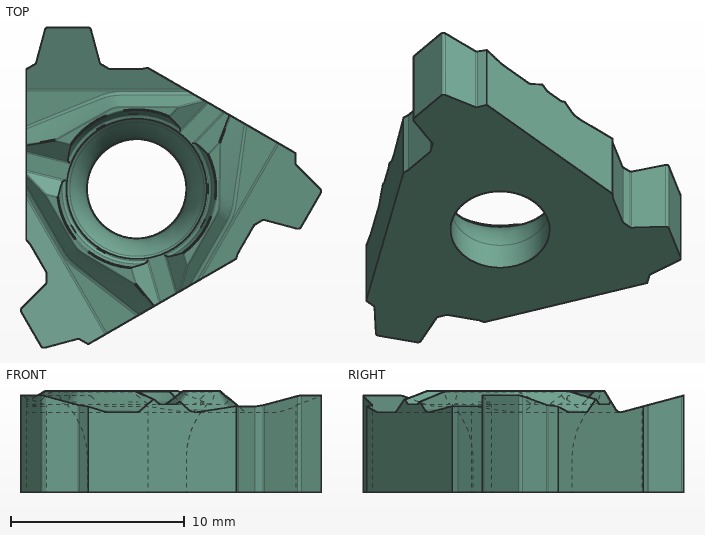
import cadquery as cq
import math

LOBES = 3
LOBE_TURN = -360.0 / LOBES
HEIGHT = 5.84
SIDE_DISTANCE = 6.35
CUT_MARGIN = 3.0
PICK_MARGIN = 0.05

TOOTH_CENTER_X = -3.95
TIP_Y = 9.29
TIP_HALF_WIDTH = 1.29
FLANK_ANGLE = 15.0
NECK_Y = 7.2
NECK_ANGLE = 30.0
SHOULDER_Y = 6.9
SHOULDER_STEP_WIDTH = 0.33
SHOULDER_END_X = 0.3
TIP_RADIUS = 0.2
NECK_RADIUS = 0.12
SHOULDER_RADIUS = 0.12

TIP_Z = 5.58
RAKE_ANGLE = 15.0
FLOOR_Z = 4.62
RAKE_BLEND_RADIUS = 0.45

FOOT_WALL_Y = 5.47
CREST_WALL_Y = 4.73
FOOT_OBLIQUE_ANGLE = 21.9
CREST_OBLIQUE_ANGLE = 29.3
FOOT_SIDE_Y = 3.54
CREST_SIDE_Y = 1.9
FOOT_BEND_RADIUS = 3.0
CREST_BEND_RADIUS = 1.5
FOOT_RADIUS = 0.25
CREST_RADIUS = 0.07

NOTCH_ANGLE = 166.0
NOTCH_FLOOR_Z = 5.07
NOTCH_FLOOR_WIDTH = 1.07
NOTCH_WALL_ANGLE = 53.0
NOTCH_RADIUS = 0.15

RECESS_Z = NOTCH_FLOOR_Z
HOLE_RADIUS = 5.7 / 2
SEAT_ARC_RADIUS = 4.48
SEAT_ARC_ANGLE = 39.3
SEAT_CONE_HEIGHT = 0.21
RECESS_TOP_RADIUS = 4.54
RECESS_WALL_ANGLE = 20.0
RECESS_CORNER_RADIUS = 0.2


def tan(degrees):
    return math.tan(math.radians(degrees))


def turned(point, lobe):
    """Point of the first lobe moved to another lobe."""
    angle = math.radians(LOBE_TURN * lobe)
    x, y = point
    return (
        x * math.cos(angle) - y * math.sin(angle),
        x * math.sin(angle) + y * math.cos(angle),
    )


NECK_HALF_WIDTH = TIP_HALF_WIDTH + (TIP_Y - NECK_Y) * tan(FLANK_ANGLE)

CORNER_RADII = [0, NECK_RADIUS, TIP_RADIUS, TIP_RADIUS, NECK_RADIUS, SHOULDER_RADIUS, SHOULDER_RADIUS, 0]


def lobe_points():
    """Outline of the first lobe, from its long side clockwise to the next side."""
    neck_left_x = TOOTH_CENTER_X - NECK_HALF_WIDTH
    neck_right_x = TOOTH_CENTER_X + NECK_HALF_WIDTH
    side_y = NECK_Y - (SIDE_DISTANCE + neck_left_x) * tan(NECK_ANGLE)
    step_x = SHOULDER_END_X + SHOULDER_STEP_WIDTH
    step_y = (SIDE_DISTANCE - step_x * math.cos(math.pi / LOBES)) / math.sin(math.pi / LOBES)
    return [
        (-SIDE_DISTANCE, side_y),
        (neck_left_x, NECK_Y),
        (TOOTH_CENTER_X - TIP_HALF_WIDTH, TIP_Y),
        (TOOTH_CENTER_X + TIP_HALF_WIDTH, TIP_Y),
        (neck_right_x, NECK_Y),
        (neck_right_x + (NECK_Y - SHOULDER_Y) / tan(NECK_ANGLE), SHOULDER_Y),
        (SHOULDER_END_X, SHOULDER_Y),
        (step_x, step_y),
    ]


def blank():
    """Full-height prism of the three-lobed outline with its rounded corners."""
    points = [turned(point, lobe) for lobe in range(LOBES) for point in lobe_points()]
    body = cq.Workplane("XY").polyline(points).close().extrude(HEIGHT)
    for lobe in range(LOBES):
        for point, radius in zip(lobe_points(), CORNER_RADII):
            if radius:
                x, y = turned(point, lobe)
                corner = cq.selectors.NearestToPointSelector((x, y, HEIGHT / 2))
                body = body.edges("|Z").edges(corner).fillet(radius)
    return body


def wall_line(plane, wall_y, side_y, angle, bend_radius):
    """Closed area outside a boss wall: an oblique line, a smooth bend, then a line along X."""
    corner_x = -SIDE_DISTANCE + (wall_y - side_y) / tan(angle)
    tangent = bend_radius * tan(angle / 2)
    cos_a = math.cos(math.radians(angle))
    sin_a = math.sin(math.radians(angle))
    bend_start = (corner_x - tangent * cos_a, wall_y - tangent * sin_a)
    bend_end = (corner_x + tangent, wall_y)
    left_x = -SIDE_DISTANCE - CUT_MARGIN
    right_x = SIDE_DISTANCE
    far_y = TIP_Y + CUT_MARGIN
    wall_start = (left_x, side_y - CUT_MARGIN * tan(angle))
    wall_end = (right_x, wall_y)
    oblique = (cos_a, sin_a)
    along_x = (1, 0)
    return (
        plane.moveTo(*wall_start)
        .spline(
            [bend_start, bend_end, wall_end],
            tangents=[oblique, oblique, along_x, along_x],
            includeCurrent=True,
        )
        .lineTo(right_x, far_y)
        .lineTo(left_x, far_y)
        .close()
    )


def boss_wall_cutter():
    """Space outside the boss wall above the chip floor, rounded along the foot of the wall."""
    foot = wall_line(
        cq.Workplane("XY").workplane(offset=FLOOR_Z),
        FOOT_WALL_Y, FOOT_SIDE_Y, FOOT_OBLIQUE_ANGLE, FOOT_BEND_RADIUS,
    )
    cutter = wall_line(
        foot.workplane(offset=HEIGHT - FLOOR_Z),
        CREST_WALL_Y, CREST_SIDE_Y, CREST_OBLIQUE_ANGLE, CREST_BEND_RADIUS,
    ).loft(ruled=True)
    near_foot = cq.selectors.BoxSelector(
        (-2 * SIDE_DISTANCE, 0, FLOOR_Z - PICK_MARGIN),
        (SIDE_DISTANCE - PICK_MARGIN, FOOT_WALL_Y + PICK_MARGIN, FLOOR_Z + PICK_MARGIN),
    )
    return cutter.edges(near_foot).fillet(FOOT_RADIUS)


def rake_wedge():
    """Material under the rising rake face, blended into the chip floor."""
    angle = math.radians(RAKE_ANGLE)
    start_y = TIP_Y - (TIP_Z - FLOOR_Z) / tan(RAKE_ANGLE)
    far_y = TIP_Y + 2 * CUT_MARGIN
    blend = RAKE_BLEND_RADIUS * tan(RAKE_ANGLE / 2)
    blend_start = (start_y - blend, FLOOR_Z)
    blend_middle = (
        blend_start[0] + RAKE_BLEND_RADIUS * math.sin(angle / 2),
        FLOOR_Z + RAKE_BLEND_RADIUS * (1 - math.cos(angle / 2)),
    )
    blend_end = (start_y + blend * math.cos(angle), FLOOR_Z + blend * math.sin(angle))
    return (
        cq.Workplane("YZ")
        .moveTo(*blend_start)
        .threePointArc(blend_middle, blend_end)
        .lineTo(far_y, FLOOR_Z + (far_y - start_y) * tan(RAKE_ANGLE))
        .lineTo(far_y, 0)
        .lineTo(blend_start[0], 0)
        .close()
        .extrude(2 * SIDE_DISTANCE + CUT_MARGIN, both=True)
    )


def notch():
    """V-walled groove from the axis outward along +X, turned to its place."""
    depth = HEIGHT - NOTCH_FLOOR_Z
    half_floor = NOTCH_FLOOR_WIDTH / 2
    half_top = half_floor + depth * tan(NOTCH_WALL_ANGLE)
    groove = (
        cq.Workplane("YZ")
        .polyline([
            (-half_top, HEIGHT), (-half_floor, NOTCH_FLOOR_Z),
            (half_floor, NOTCH_FLOOR_Z), (half_top, HEIGHT),
        ])
        .close()
        .extrude(SIDE_DISTANCE + CUT_MARGIN)
    )
    groove = groove.faces("<Z").edges("|X").fillet(NOTCH_RADIUS)
    return groove.rotate((0, 0, 0), (0, 0, 1), NOTCH_ANGLE)


def screw_hole():
    """Through hole, curved seat and recess as one body of revolution."""
    seat_angle = math.radians(SEAT_ARC_ANGLE)
    arc_center_r = HOLE_RADIUS + SEAT_ARC_RADIUS
    seat_top_z = RECESS_Z - SEAT_CONE_HEIGHT
    throat_z = seat_top_z - SEAT_ARC_RADIUS * math.sin(seat_angle)

    def seat_point(angle):
        return (
            arc_center_r - SEAT_ARC_RADIUS * math.cos(angle),
            throat_z + SEAT_ARC_RADIUS * math.sin(angle),
        )

    cone_top_radius = seat_point(seat_angle)[0] + SEAT_CONE_HEIGHT * tan(SEAT_ARC_ANGLE)
    recess_floor_radius = RECESS_TOP_RADIUS - (HEIGHT - RECESS_Z) * tan(RECESS_WALL_ANGLE)
    hole = (
        cq.Workplane("XZ")
        .lineTo(HOLE_RADIUS, 0)
        .lineTo(HOLE_RADIUS, throat_z)
        .threePointArc(seat_point(seat_angle / 2), seat_point(seat_angle))
        .lineTo(cone_top_radius, RECESS_Z)
        .lineTo(recess_floor_radius, RECESS_Z)
        .lineTo(RECESS_TOP_RADIUS, HEIGHT)
        .lineTo(0, HEIGHT)
        .close()
        .revolve(360, (0, 0, 0), (0, 1, 0))
    )
    shelf = cq.selectors.BoxSelector(
        (-HOLE_RADIUS, -HOLE_RADIUS, RECESS_Z - PICK_MARGIN),
        (HOLE_RADIUS, HOLE_RADIUS, RECESS_Z + PICK_MARGIN),
    )
    outer_circle = cq.selectors.RadiusNthSelector(-1)
    return hole.edges(shelf).edges(outer_circle).fillet(RECESS_CORNER_RADIUS)


def round_crest(body):
    """Round the edges between notch and boss walls, then all edges of the boss top."""
    wall_edges = (
        body.faces(">Z").vertices().ancestors("Edge")
        .filter(lambda edge: edge.geomType() == "BSPLINE")
        .filter(lambda edge: edge.Center().z < HEIGHT - PICK_MARGIN)
    )
    return wall_edges.fillet(CREST_RADIUS).faces(">Z").edges().fillet(CREST_RADIUS)


body = blank()
lobe_relief = boss_wall_cutter().cut(rake_wedge())
groove = notch()
for lobe in range(LOBES):
    for cutter in (lobe_relief, groove):
        body = body.cut(cutter.rotate((0, 0, 0), (0, 0, 1), LOBE_TURN * lobe))
body = body.cut(screw_hole())
result = round_crest(body).solids()